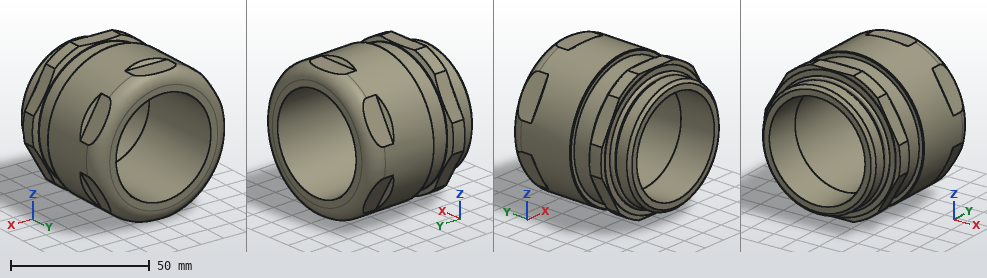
import cadquery as cq
import math

length = 54.0
front_y = -length / 2
outer_d = 60.0
across_flats = 57.0
bore_d = 42.2
rear_bore_d = 42.1
flat_count = 6

thread_d = 50.0
thread_chamfer = 1.3
thread_length = 6.5
undercut_d = 47.9

ring_d = 51.9
ring_section_d = 2.05
ring_center = 8.2

flange_start = 9.0
flange_end = 16.3
washer_face_d = 56.2
washer_face_thickness = 0.3
flange_chamfer_angle = 30
hex_start = flange_start + washer_face_thickness
hex_end = flange_end - washer_face_thickness
neck_d = 56.0

cap_start = 24.0
cap_chamfer = 0.35
cap_round = 6.0
flat_start = 43.45


def cylinder(diameter, start, end):
    """Solid cylinder along Y between two distances from the front face."""
    plane = cq.Workplane("XZ", origin=(0, front_y + start, 0))
    return plane.circle(diameter / 2).extrude(start - end)


def hexagon(start, end):
    """Hexagonal prism along Y with one pair of flats facing +Z and -Z."""
    across_corners = across_flats / math.cos(math.pi / flat_count)
    plane = cq.Workplane("XZ", origin=(0, front_y + start, 0))
    return plane.polygon(flat_count, across_corners).extrude(start - end)


def thread_end():
    thread = cylinder(thread_d, 0, thread_length)
    thread = thread.faces("<Y").chamfer(thread_chamfer)
    taper_depth = (thread_d - undercut_d) / 2
    taper_end = thread_length + taper_depth
    taper_plane = cq.Workplane("XZ", origin=(0, front_y + taper_end, 0))
    run_out = taper_plane.circle(undercut_d / 2).extrude(taper_depth, taper=-45)
    undercut = cylinder(undercut_d, thread_length, flange_start)
    return thread.union(run_out).union(undercut)


def sealing_ring():
    section_radius = ring_section_d / 2
    center_radius = ring_d / 2 - section_radius
    section_plane = cq.Workplane("XY", origin=(0, front_y + ring_center, 0))
    section = section_plane.center(-center_radius, 0).circle(section_radius)
    return section.revolve(360, (center_radius, 0), (center_radius, 1))


def wrench_flange():
    chamfer_width = (outer_d - washer_face_d) / 2
    chamfer_depth = chamfer_width * math.tan(math.radians(flange_chamfer_angle))
    flange = cylinder(outer_d, hex_start, hex_end)
    flange = flange.faces(">Y").chamfer(chamfer_depth, chamfer_width)
    flange = flange.intersect(hexagon(hex_start, hex_end))
    return flange.union(cylinder(washer_face_d, flange_start, flange_end))


def cap_flat_cutter():
    """Stock above one flat, with a 45 degree run-out at its front end."""
    flat_z = across_flats / 2
    clearance = outer_d / 2 - flat_z
    half_width = outer_d / 2
    profile = [
        (front_y + flat_start, flat_z),
        (front_y + flat_start - 2 * clearance, flat_z + 2 * clearance),
        (front_y + length, flat_z + 2 * clearance),
        (front_y + length, flat_z),
    ]
    return cq.Workplane("YZ").polyline(profile).close().extrude(half_width, both=True)


def clamping_cap():
    cap = cylinder(outer_d, cap_start, length)
    cap = cap.faces("<Y").chamfer(cap_chamfer)
    cap = cap.faces(">Y").edges().fillet(cap_round)
    cutter = cap_flat_cutter()
    for index in range(flat_count):
        angle = index * 360 / flat_count
        cap = cap.cut(cutter.rotate((0, 0, 0), (0, 1, 0), angle))
    return cap


body = thread_end()
body = body.union(sealing_ring())
body = body.union(wrench_flange())
body = body.union(cylinder(neck_d, flange_end, cap_start))
body = body.union(clamping_cap())
body = body.cut(cylinder(rear_bore_d, hex_end, length))
result = body.cut(cylinder(bore_d, 0, hex_end))